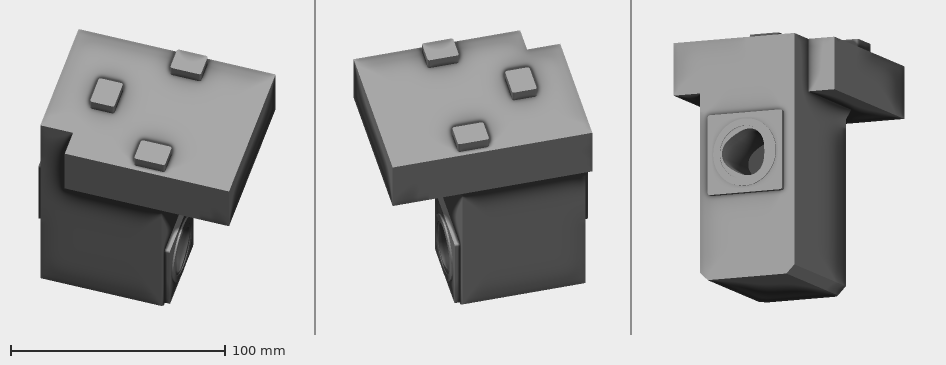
import cadquery as cq
import math

flange_length = 96.0
flange_width = 75.0
flange_thickness = 25.0
notch_length = 16.0

stem_length = 59.0
stem_width = 48.3
bottom_chamfer = 4.0
gusset_size = 6.0

key_length = 15.0
key_width = 11.8
key_height = 5.0
corner_radius = 1.01
center_key_x = 25.0
side_key_x = 56.4
side_key_y = 29.0

plate_size = 38.0
plate_thickness = 2.5
ring_diameter = 32.0
left_ring_height = 0.5
right_ring_height = 0.8
recess_diameter = 25.2
recess_depth = 0.4
bore_radius = 10.8
lobe_height = 0.8
lobe_count = 3
bore_depth = 28.6
bore_taper = 1.4
left_socket_z = 58.8
right_socket_z = plate_size / 2

total_height = 119.0
top_z = total_height - key_height
flange_bottom_z = top_z - flange_thickness
notch_width = (flange_width - stem_width) / 2


def make_flange():
    """Rectangular slab with its front left corner cut away."""
    slab = cq.Workplane("XY").box(flange_length, flange_width, flange_thickness, centered=(False, True, False))
    notch = (
        cq.Workplane("XY")
        .box(notch_length, notch_width, flange_thickness, centered=False)
        .translate((0, -flange_width / 2, 0))
    )
    return slab.cut(notch).translate((0, 0, flange_bottom_z))


def make_stem():
    """Upright block with a sloped gusset under the flange and chamfered lower edges."""
    profile = [
        (0, 0),
        (stem_length, 0),
        (stem_length, flange_bottom_z - gusset_size),
        (stem_length + gusset_size, flange_bottom_z),
        (stem_length + gusset_size, top_z),
        (0, top_z),
    ]
    block = cq.Workplane("XZ").polyline(profile).close().extrude(stem_width / 2, both=True)
    return block.faces("<Z").edges("|X").chamfer(bottom_chamfer)


def make_key(x, y, length_x, length_y):
    """Rectangular key with rounded vertical corners."""
    key = cq.Workplane("XY").box(length_x, length_y, key_height, centered=(True, True, False))
    return key.edges("|Z").fillet(corner_radius).translate((x, y, top_z))


def socket_plane(x, z, outward):
    """Plane on a stem face; its normal points out along X and its local X runs along +Y."""
    return cq.Plane(origin=(x, 0, z), xDir=(0, 1, 0), normal=(outward, 0, 0))


def add_socket(body, plane, ring_height):
    """Add a plate and ring to the body, then sink the recess and the three-lobed bore."""
    ring_top = plate_thickness + ring_height
    floor = ring_top - recess_depth
    plate = cq.Workplane(plane).rect(plate_size, plate_size).extrude(plate_thickness)
    plate = plate.edges("|X").fillet(corner_radius)
    ring = cq.Workplane(plane).circle(ring_diameter / 2).extrude(ring_top)
    recess = cq.Workplane(plane).workplane(offset=floor).circle(recess_diameter / 2).extrude(recess_depth)

    def lobed_section(depth):
        """Closed three-lobed curve, shrunk with depth, with one lobe toward +Y."""
        mean_radius = bore_radius - depth * math.tan(math.radians(bore_taper))

        def point(turn):
            angle = 2 * math.pi * turn
            radius = mean_radius + lobe_height * math.cos(lobe_count * angle)
            return radius * math.cos(angle), radius * math.sin(angle)

        return cq.Workplane(plane).workplane(offset=floor - depth).parametricCurve(point).val()

    bore = cq.Solid.makeLoft([lobed_section(0), lobed_section(bore_depth)])
    return body.union(plate).union(ring).cut(recess).cut(cq.Workplane(bore))


result = make_flange().union(make_stem())

result = result.union(make_key(center_key_x, 0, key_width, key_length))
for side in (-1, 1):
    result = result.union(make_key(side_key_x, side * side_key_y, key_length, key_width))

result = add_socket(result, socket_plane(0, left_socket_z, -1), left_ring_height)
result = add_socket(result, socket_plane(stem_length, right_socket_z, 1), right_ring_height)